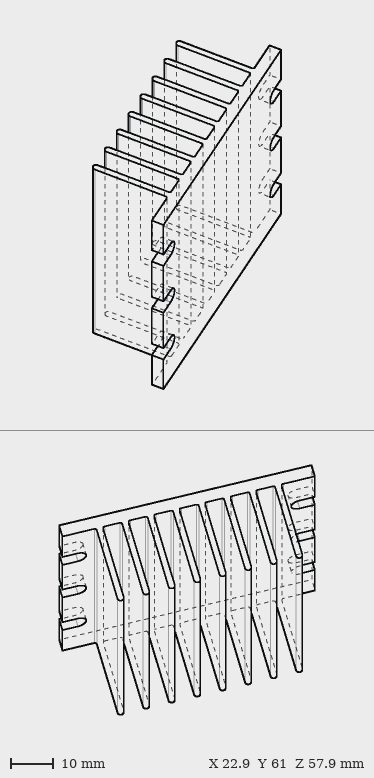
import cadquery as cq

plate_thickness = 3.05
width = 60.95
height = 57.9
depth = 22.85

fin_count = 8
fin_pitch = 6.15
fin_thickness = 1.5
fin_root_fillet = 0.5

slot_count = 3
slot_pitch = 16.5
slot_width = 4.0
slot_depth = 5.7

plate_face_x = depth - plate_thickness
tip_radius = fin_thickness / 2


def centered_positions(count, pitch):
    """Evenly spaced positions centred on zero."""
    return [(i - (count - 1) / 2) * pitch for i in range(count)]


def make_plate():
    return cq.Workplane("XY").box(
        plate_thickness, width, height, centered=(False, True, False)
    ).translate((plate_face_x, 0, 0))


def make_fin(y):
    """Fin with a fully rounded tip and concave fillets where it meets the plate."""
    half = fin_thickness / 2
    root_half = half + fin_root_fillet
    fillet_start_x = plate_face_x - fin_root_fillet
    embedded_x = plate_face_x + plate_thickness / 2
    return (
        cq.Workplane("XY")
        .center(0, y)
        .moveTo(tip_radius, -half)
        .lineTo(fillet_start_x, -half)
        .radiusArc((plate_face_x, -root_half), fin_root_fillet)
        .lineTo(embedded_x, -root_half)
        .lineTo(embedded_x, root_half)
        .lineTo(plate_face_x, root_half)
        .radiusArc((fillet_start_x, half), fin_root_fillet)
        .lineTo(tip_radius, half)
        .threePointArc((0, 0), (tip_radius, -half))
        .close()
        .extrude(height)
    )


def make_slot(side, z):
    """Round-ended cutter centred on a side edge, so half of it opens the plate."""
    return (
        cq.Workplane("YZ", origin=(plate_face_x, side * width / 2, z))
        .slot2D(2 * slot_depth, slot_width)
        .extrude(plate_thickness)
    )


result = make_plate()
for fin_y in centered_positions(fin_count, fin_pitch):
    result = result.union(make_fin(fin_y))

for slot_offset in centered_positions(slot_count, slot_pitch):
    for side in (-1, 1):
        result = result.cut(make_slot(side, height / 2 + slot_offset))